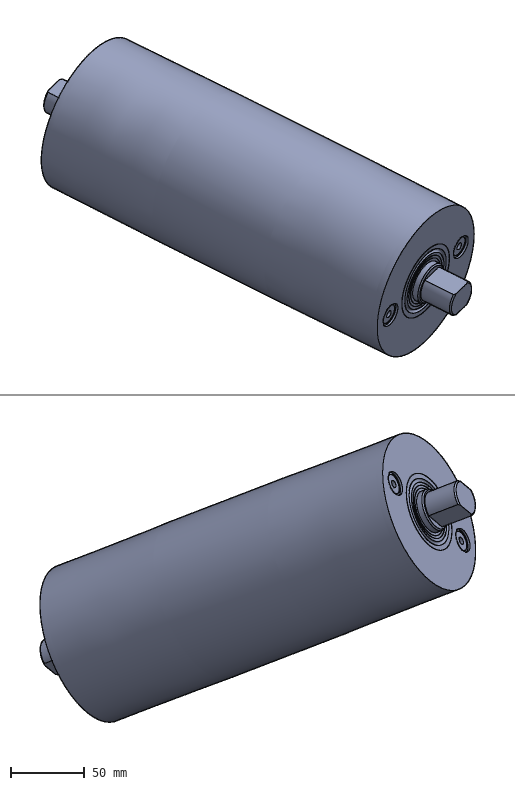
import cadquery as cq

total_length = 340.0
drum_length = 280.0
cap_thickness = 5.0
hub_projection = 5.0
crown_flat_length = drum_length / 3

crown_diameter = 113.5
cap_diameter = 112.5

shaft_diameter = 25.5
shaft_across_flats = 19.7
shaft_chamfer = 1.0
hub_diameter = 30.0
hub_chamfer = 1.0

seat_diameter = 55.0
seat_depth = 0.17
round_groove_diameter = 45.2
round_groove_width = 2.7
seal_outer_diameter = 38.0
seal_inner_diameter = 34.0
seal_depth = 0.5

screw_offset = 40.8
screw_bore_diameter = 17.0
screw_head_diameter = 14.0
screw_bore_depth = 1.7
screw_head_height = 0.5
screw_socket_diameter = 5.0
screw_socket_depth = 3.5

end_face_x = -drum_length / 2
seat_x = end_face_x + seat_depth
hub_face_x = end_face_x - hub_projection


def rod(diameter, start_x, length, y=0.0):
    """Cylinder along +X starting at start_x."""
    plane = cq.Workplane("YZ", origin=(start_x, y, 0))
    return plane.circle(diameter / 2).extrude(length)


def tube(outer_diameter, inner_diameter, start_x, length):
    """Hollow cylinder along +X starting at start_x."""
    plane = cq.Workplane("YZ", origin=(start_x, 0, 0))
    return plane.circle(outer_diameter / 2).circle(inner_diameter / 2).extrude(length)


def make_drum():
    """Crowned shell with a straight cap at each end."""
    half_length = drum_length / 2
    cap_x = half_length - cap_thickness
    half_flat = crown_flat_length / 2
    profile = [
        (-half_length, 0),
        (-half_length, cap_diameter / 2),
        (-cap_x, cap_diameter / 2),
        (-half_flat, crown_diameter / 2),
        (half_flat, crown_diameter / 2),
        (cap_x, cap_diameter / 2),
        (half_length, cap_diameter / 2),
        (half_length, 0),
    ]
    return cq.Workplane("XY").polyline(profile).close().revolve(360, (0, 0, 0), (1, 0, 0))


def make_shaft():
    """Through shaft with chamfered ends and two flats facing up and down."""
    shaft = rod(shaft_diameter, -total_length / 2, total_length)
    shaft = shaft.faces("<X or >X").chamfer(shaft_chamfer)
    flats = cq.Workplane("XY").box(total_length, shaft_diameter, shaft_across_flats)
    return shaft.intersect(flats)


def make_hub():
    """Pair of chamfered hubs made as one cylinder through the drum."""
    hub = rod(hub_diameter, hub_face_x, -2 * hub_face_x)
    return hub.faces("<X or >X").chamfer(hub_chamfer)


def make_round_groove():
    """Half-round ring groove in the floor of the bearing seat."""
    middle_y = round_groove_diameter / 2
    half_width = round_groove_width / 2
    return (
        cq.Workplane("XY")
        .moveTo(seat_x, middle_y - half_width)
        .threePointArc((seat_x + half_width, middle_y), (seat_x, middle_y + half_width))
        .close()
        .revolve(360, (0, 0, 0), (1, 0, 0))
    )


def make_screw_cut(y):
    """Counterbore around a slightly raised screw head, plus the socket in the head."""
    head_x = end_face_x + screw_bore_depth - screw_head_height
    bore = rod(screw_bore_diameter, end_face_x, screw_bore_depth, y)
    head = rod(screw_head_diameter, head_x, screw_head_height, y)
    socket = rod(screw_socket_diameter, head_x, screw_socket_depth, y)
    return bore.cut(head).union(socket)


def make_end_cuts():
    """Everything sunk into the -X end face."""
    cuts = tube(seat_diameter, hub_diameter, end_face_x, seat_depth)
    cuts = cuts.union(tube(seal_outer_diameter, seal_inner_diameter, seat_x, seal_depth))
    cuts = cuts.union(make_round_groove())
    for y in (-screw_offset, screw_offset):
        cuts = cuts.union(make_screw_cut(y))
    return cuts


end_cuts = make_end_cuts()
body = make_drum().union(make_hub()).union(make_shaft())
result = body.cut(end_cuts).cut(end_cuts.mirror("YZ"))